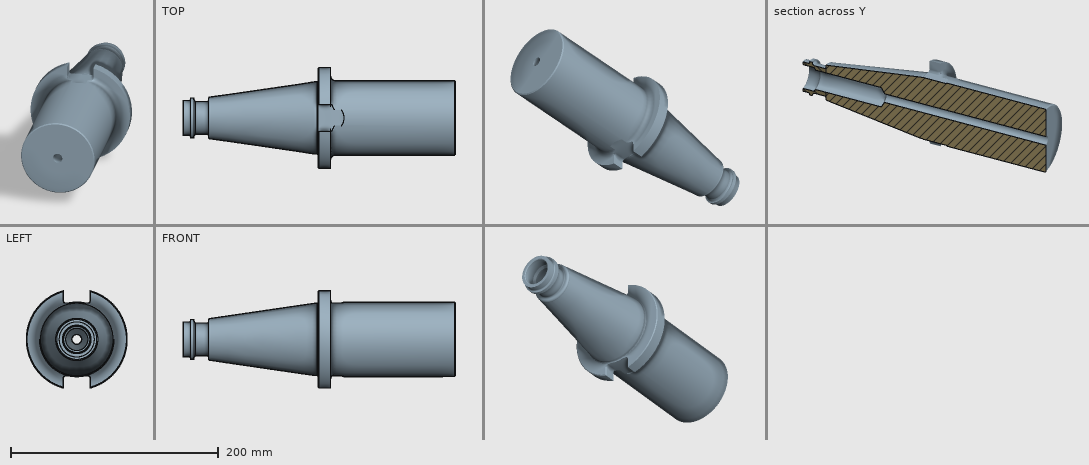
import cadquery as cq
import math


total_length = 262.0
gauge_x = 126.8
taper_length = 102.5
taper_start_x = gauge_x - taper_length
flange_offset = 3.2
flange_x = gauge_x + flange_offset
flange_width = 12.0
flange_end_x = flange_x + flange_width

gauge_radius = 69.85 / 2
taper_per_length = 7 / 48
taper_start_radius = gauge_radius - taper_per_length * taper_length
nose_length = 2.4
nose_radius_drop = 1.5
flange_radius = 97.3 / 2
flange_chamfer = 0.8
flange_root_fillet = 1.0
shank_radius = 36.0
shank_root_fillet = 4.5
shank_chamfer = 1.0

slot_width = 25.7
slot_floor_z = 35.2
slot_floor_fillet = 2.0
slot_edge_chamfer = 0.6

thread_bore_radius = 10.7
thread_bore_depth = 60.0
coolant_radius = 4.6
drill_tip_half_angle = math.radians(59)

ring_length = taper_start_x
ring_end_radius = 16.9
collar_radius = 19.2
collar_start_x = 6.9
collar_width = 3.4
collar_back_radius = 17.5
collar_back_length = 1.6
neck_radius = 15.9
collar_root_fillet = 1.0
neck_root_fillet = 1.0
socket_radius = 13.2
socket_depth = 12.0
socket_chamfer = 0.6
countersink_radius = 12.6
countersink_depth = 1.9

fillet_mid = 1 - math.sqrt(0.5)


def revolve_about_x(outline):
    return outline.close().revolve(360, (0, 0, 0), (1, 0, 0))


def taper_radius(x):
    return gauge_radius - taper_per_length * (gauge_x - x)


def make_holder_blank():
    nose_end_x = taper_start_x + nose_length
    nose_end_radius = taper_radius(nose_end_x)
    root = flange_root_fillet
    shank_root = shank_root_fillet
    outline = (
        cq.Workplane("XZ")
        .moveTo(taper_start_x, 0)
        .lineTo(taper_start_x, taper_start_radius - nose_radius_drop)
        .threePointArc(
            (taper_start_x + fillet_mid * nose_length, nose_end_radius - fillet_mid * nose_radius_drop),
            (nose_end_x, nose_end_radius),
        )
        .lineTo(gauge_x, gauge_radius)
        .lineTo(flange_x - root, gauge_radius)
        .threePointArc(
            (flange_x - fillet_mid * root, gauge_radius + fillet_mid * root),
            (flange_x, gauge_radius + root),
        )
        .lineTo(flange_x, flange_radius - flange_chamfer)
        .lineTo(flange_x + flange_chamfer, flange_radius)
        .lineTo(flange_end_x, flange_radius)
        .lineTo(flange_end_x, shank_radius + shank_root)
        .threePointArc(
            (flange_end_x + fillet_mid * shank_root, shank_radius + fillet_mid * shank_root),
            (flange_end_x + shank_root, shank_radius),
        )
        .lineTo(total_length - shank_chamfer, shank_radius)
        .lineTo(total_length, shank_radius - shank_chamfer)
        .lineTo(total_length, 0)
    )
    return revolve_about_x(outline)


def make_bore():
    cone_length = (thread_bore_radius - coolant_radius) / math.tan(drill_tip_half_angle)
    cone_x = taper_start_x + thread_bore_depth
    outline = (
        cq.Workplane("XZ")
        .moveTo(taper_start_x, 0)
        .lineTo(taper_start_x, thread_bore_radius)
        .lineTo(cone_x, thread_bore_radius)
        .lineTo(cone_x + cone_length, coolant_radius)
        .lineTo(total_length, coolant_radius)
        .lineTo(total_length, 0)
    )
    return revolve_about_x(outline)


def make_drive_slot():
    """Slot for the +Z side: filleted floor in the flange, round end milled into the shank."""
    height = flange_radius - slot_floor_z
    half_width = slot_width / 2
    straight = (
        cq.Workplane("XY")
        .box(flange_width, slot_width, height, centered=(False, True, False))
        .edges("|X and <Z")
        .fillet(slot_floor_fillet)
        .translate((flange_x, 0, slot_floor_z))
    )
    round_end = (
        cq.Workplane("XY")
        .moveTo(0, -half_width)
        .threePointArc((half_width, 0), (0, half_width))
        .close()
        .extrude(height)
        .translate((flange_end_x, 0, slot_floor_z))
    )
    mouth = (
        cq.Workplane("XY")
        .moveTo(flange_x, -half_width - slot_edge_chamfer)
        .lineTo(flange_x + slot_edge_chamfer, -half_width)
        .lineTo(flange_x + slot_edge_chamfer, half_width)
        .lineTo(flange_x, half_width + slot_edge_chamfer)
        .close()
        .extrude(height - slot_floor_fillet)
        .translate((0, 0, slot_floor_z + slot_floor_fillet))
    )
    return straight.union(round_end).union(mouth)


def make_holder():
    holder = make_holder_blank().cut(make_bore())
    slot = make_drive_slot()
    for angle in (0, 180):
        holder = holder.cut(slot.rotate((0, 0, 0), (1, 0, 0), angle))
    return holder


def make_pull_ring():
    collar_end_x = collar_start_x + collar_width
    collar_root = collar_root_fillet
    neck_root = neck_root_fillet
    outline = (
        cq.Workplane("XZ")
        .moveTo(0, socket_radius + socket_chamfer)
        .lineTo(0, ring_end_radius)
        .lineTo(collar_start_x - collar_root, ring_end_radius)
        .threePointArc(
            (collar_start_x - fillet_mid * collar_root, ring_end_radius + fillet_mid * collar_root),
            (collar_start_x, ring_end_radius + collar_root),
        )
        .lineTo(collar_start_x, collar_radius)
        .lineTo(collar_end_x, collar_radius)
        .lineTo(collar_end_x, collar_back_radius)
        .lineTo(collar_end_x + collar_back_length, neck_radius)
        .lineTo(ring_length - neck_root, neck_radius)
        .threePointArc(
            (ring_length - fillet_mid * neck_root, neck_radius + fillet_mid * neck_root),
            (ring_length, neck_radius + neck_root),
        )
        .lineTo(ring_length, thread_bore_radius)
        .lineTo(socket_depth + countersink_depth, thread_bore_radius)
        .lineTo(socket_depth, countersink_radius)
        .lineTo(socket_depth, socket_radius)
        .lineTo(socket_chamfer, socket_radius)
    )
    return revolve_about_x(outline)


holder = make_holder()
pull_ring = make_pull_ring()

result = cq.Compound.makeCompound([holder.val(), pull_ring.val()])